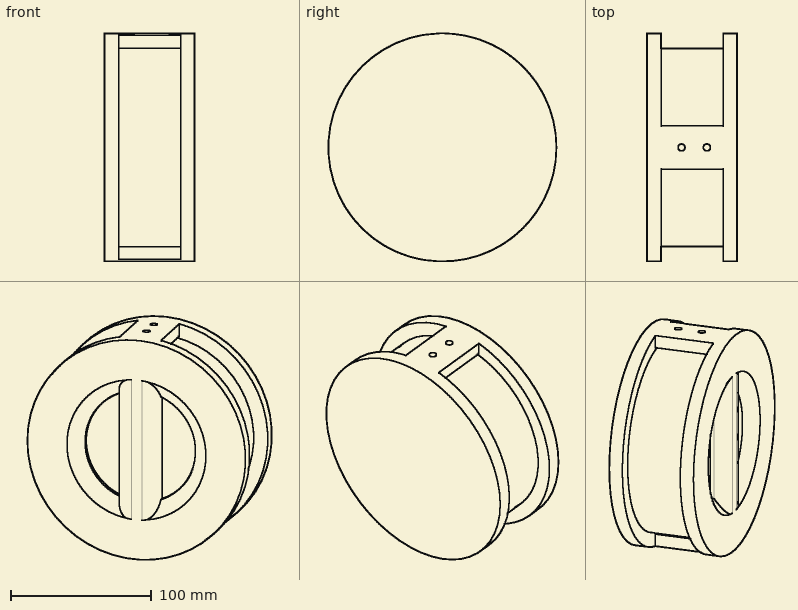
import cadquery as cq
import math

BODY_LENGTH = 64.0
BODY_DIAMETER = 162.0
FLANGE_THICKNESS = 10.0

WAIST_DIAMETER = 141.0
PAD_INNER_HEIGHT = 70.4
BAR_WIDTH = 30.7

MOUTH_DIAMETER = 103.2
SEAT_DIAMETER = 82.0
MOUTH_DEPTH = 9.3
SEAT_DEPTH = 3.1
FLOOR_X = MOUTH_DEPTH + SEAT_DEPTH

CROWN_HEIGHT = 0.15
SHOULDER_RADIUS = 9.65

PIN_DIAMETER = 5.0
PIN_SPACING = 18.0
PIN_MIDPOINT_X = 33.5
PIN_LENGTH = 10.0

CUT_MARGIN = 1.0


def disc(diameter, start_x, length):
    """Cylinder on the X axis."""
    return cq.Workplane("YZ", origin=(start_x, 0, 0)).circle(diameter / 2).extrude(length)


def waist_recess():
    """Ring between the flanges, less the pads left at the top and bottom."""
    groove_length = BODY_LENGTH - 2 * FLANGE_THICKNESS
    ring = disc(BODY_DIAMETER + 2 * CUT_MARGIN, FLANGE_THICKNESS, groove_length)
    core = disc(WAIST_DIAMETER, FLANGE_THICKNESS, groove_length)
    recess = ring.cut(core)
    pad_height = BODY_DIAMETER / 2 - PAD_INNER_HEIGHT + CUT_MARGIN
    for side in (1, -1):
        pad = (
            cq.Workplane("XY", origin=(0, 0, side * PAD_INNER_HEIGHT))
            .rect(2 * BODY_LENGTH, BAR_WIDTH)
            .extrude(side * pad_height)
        )
        recess = recess.cut(pad)
    return recess


def mouth():
    """Cone narrowing from the -X face to the straight seat."""
    profile = [
        (0, 0),
        (0, MOUTH_DIAMETER / 2),
        (MOUTH_DEPTH, SEAT_DIAMETER / 2),
        (FLOOR_X, SEAT_DIAMETER / 2),
        (FLOOR_X, 0),
    ]
    return cq.Workplane("XY").polyline(profile).close().revolve(360, (0, 0, 0), (1, 0, 0))


def bar():
    """Upright bar with a flat centre strip between two rounded shoulders."""
    half_width = BAR_WIDTH / 2
    centre_x = SHOULDER_RADIUS - CROWN_HEIGHT
    centre_y = half_width - SHOULDER_RADIUS
    strip_half = centre_y - math.sqrt(SHOULDER_RADIUS**2 - centre_x**2)
    crown = (-CROWN_HEIGHT, centre_y)
    profile = (
        cq.Workplane("XY", origin=(0, 0, -MOUTH_DIAMETER / 2))
        .moveTo(0, -strip_half)
        .lineTo(0, strip_half)
        .threePointArc(crown, (centre_x, half_width))
        .lineTo(FLOOR_X, half_width)
        .lineTo(FLOOR_X, -half_width)
        .lineTo(centre_x, -half_width)
        .threePointArc((crown[0], -crown[1]), (0, -strip_half))
        .close()
    )
    envelope = disc(MOUTH_DIAMETER, -CROWN_HEIGHT, FLOOR_X + CROWN_HEIGHT)
    return profile.extrude(MOUTH_DIAMETER).intersect(envelope)


def pins():
    """Two upright pins whose flat ends touch the crest of the top pad."""
    pin_x = [PIN_MIDPOINT_X - PIN_SPACING / 2, PIN_MIDPOINT_X + PIN_SPACING / 2]
    return (
        cq.Workplane("XY", origin=(0, 0, BODY_DIAMETER / 2))
        .pushPoints([(x, 0) for x in pin_x])
        .circle(PIN_DIAMETER / 2)
        .extrude(-PIN_LENGTH)
    )


body = disc(BODY_DIAMETER, 0, BODY_LENGTH).cut(waist_recess()).cut(mouth())
result = body.union(bar()).union(pins())